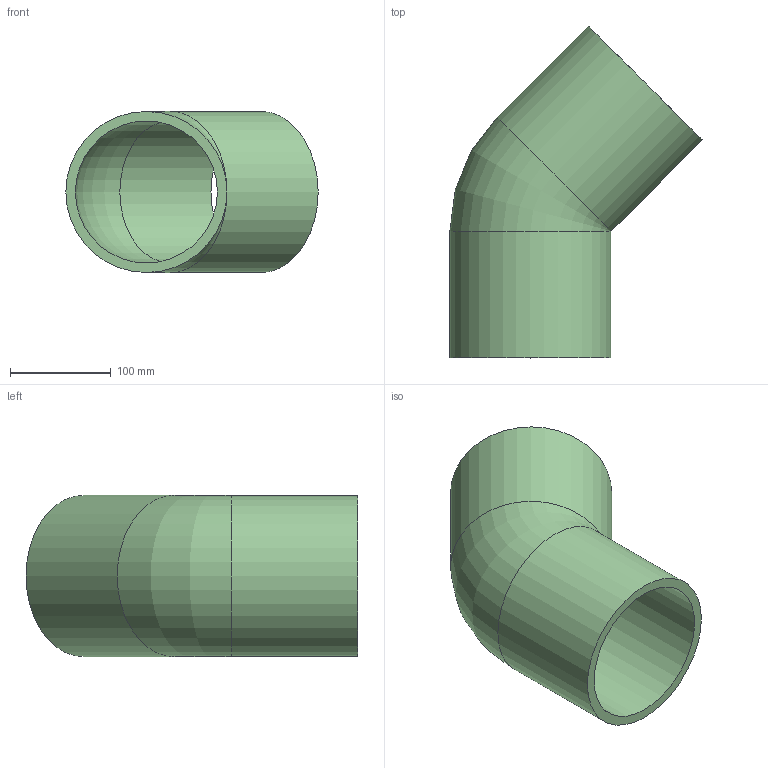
import cadquery as cq
import math

outer_diameter = 160.0
wall = 9.5
bend_angle = 45.0
inner_bend_radius = 0.1
inlet_reach = 159.0
outlet_rise = 114.0

outer_radius = outer_diameter / 2
inner_radius = outer_radius - wall
bend_radius = outer_radius + inner_bend_radius
bend_radians = math.radians(bend_angle)
tangent_length = bend_radius * math.tan(bend_radians / 2)
inlet_length = inlet_reach - tangent_length
outlet_length = outlet_rise / math.sin(bend_radians) - tangent_length


def pipe_section(workplane):
    """Draw the annular pipe cross-section at the workplane origin."""
    return workplane.circle(outer_radius).circle(inner_radius)


def make_inlet():
    """Straight leg along Y, ending where the bend starts at the origin."""
    return pipe_section(cq.Workplane("XZ")).extrude(inlet_length)


def make_bend():
    """Toroidal bend turning from +Y towards +X."""
    axis_start = (bend_radius, 0)
    axis_end = (bend_radius, -1)
    return pipe_section(cq.Workplane("XZ")).revolve(bend_angle, axis_start, axis_end)


def make_outlet():
    """Straight leg leaving the bend along the turned axis."""
    start = (
        bend_radius * (1 - math.cos(bend_radians)),
        bend_radius * math.sin(bend_radians),
        0,
    )
    direction = (math.sin(bend_radians), math.cos(bend_radians), 0)
    start_plane = cq.Plane(origin=start, xDir=(0, 0, 1), normal=direction)
    return pipe_section(cq.Workplane(start_plane)).extrude(outlet_length)


result = make_inlet().union(make_bend()).union(make_outlet())